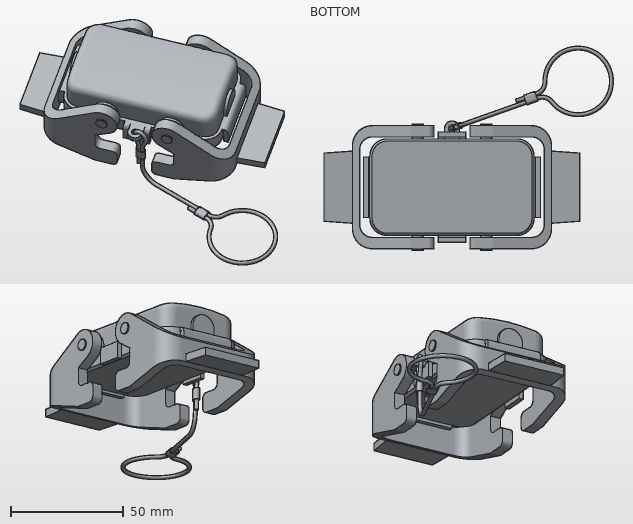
import cadquery as cq
import math


BODY_LENGTH = 70.2
BODY_WIDTH = 40.0
BODY_CORNER_RADIUS = 6.0
CROWN_TOP = 21.4
CROWN_RADIUS = 90.3
CROWN_EDGE_FILLET = 3.0

FLANGE_LENGTH = 73.3
FLANGE_WIDTH = 43.1
FLANGE_CORNER_RADIUS = 7.7
FLANGE_TOP = 7.7

SEAL_THICKNESS = 1.0
SEAL_EDGE_ANGLE = 45.0

LIP_WALL = 2.2
LIP_WEB = 1.5
LIP_BOTTOM = -0.6
END_LIP_WIDTH = 27.1
END_LIP_REACH = 39.5
SIDE_LIP_WIDTH = 12.4
SIDE_LIP_REACH = 24.6

END_PAD_RADIUS = 6.0
END_PAD_AXIS_Z = 10.5
PIN_PAD_RADIUS = 5.7

PIN_X = 15.2
PIN_Z = 10.0
PIN_RADIUS = 2.6
PIN_TIP_Y = 28.1

TONGUE_RADIUS = 3.4
TONGUE_THICKNESS = 2.5
EYE_Y = -26.2
EYE_RADIUS = 1.5

LEVER_HALF_WIDTH = 27.5
LEVER_ARM_THICKNESS = 5.2
LEVER_BRIDGE_THICKNESS = 3.4
LEVER_OUTER_X = 44.4
LEVER_OUTER_RADIUS = 9.0
LEVER_INNER_RADIUS = 5.4
LEVER_EYE_RADIUS = 7.1
LEVER_SHOULDER_Z = 0.3
LEVER_HEEL_Z = -10.7
FOOT_BOTTOM_Z = -17.9
FOOT_TOP_Z = -8.6
FOOT_TIP_X = 8.0
FOOT_HEEL_X = 18.5
FOOT_FILLET = 2.5
THROAT_X = 18.3
THROAT_TOP_Z = 0.1
HANDLE_END_X = 57.0
HANDLE_ROOT_WIDTH = 32.3
HANDLE_END_WIDTH = 30.5
HANDLE_TOP_Z = -7.0
HANDLE_BOTTOM_Z = -10.6

CORD_RADIUS = 0.9
CORD_PITCH = 1.9
CORD_HEADING = -19.5
CORD_LEVEL_Z = -21.7
EYE_LOOP_RADIUS = 3.0
EYE_LOOP_Z = 6.5
STRANDS_MEET_Z = -1.3
DROP_TAIL_Z = -12.6
CORD_BEND_RADIUS = 8.3
LEVEL_TAIL_U = 31.0
BLEND_START_U = 40.8
RING_CENTER_U = 60.0
RING_RADIUS = 14.8

FERRULE_THICKNESS = 2.7
FERRULE_LENGTH = 5.3
DROP_FERRULE_TOP_Z = -2.6
LEVEL_FERRULE_U = 35.0


def rounded_block(length, width, radius, bottom, top):
    """Upright block centred on Z with rounded vertical edges."""
    block = cq.Workplane("XY").workplane(offset=bottom).rect(length, width).extrude(top - bottom)
    return block.edges("|Z").fillet(radius)


def crowned_body():
    """Upper body with a top arched across Y and a rounded rim."""
    block = rounded_block(BODY_LENGTH, BODY_WIDTH, BODY_CORNER_RADIUS, SEAL_THICKNESS, CROWN_TOP)
    crown = (
        cq.Workplane("YZ")
        .center(0, CROWN_TOP - CROWN_RADIUS)
        .circle(CROWN_RADIUS)
        .extrude(BODY_LENGTH, both=True)
    )
    return block.intersect(crown).faces(">Z").edges().fillet(CROWN_EDGE_FILLET)


def lip(flange_face, reach, width):
    """Hooked lip on the +X side: a web flush with the flange top and a wall hanging from it."""
    wall_inner = reach - LIP_WALL
    return (
        cq.Workplane("XZ")
        .moveTo(flange_face, FLANGE_TOP)
        .lineTo(wall_inner, FLANGE_TOP)
        .radiusArc((reach, FLANGE_TOP - LIP_WALL), LIP_WALL)
        .lineTo(reach, LIP_BOTTOM)
        .lineTo(wall_inner, LIP_BOTTOM)
        .lineTo(wall_inner, FLANGE_TOP - LIP_WEB)
        .lineTo(flange_face, FLANGE_TOP - LIP_WEB)
        .close()
        .extrude(width / 2, both=True)
    )


def arched_pads(plane, offset, axis_z, radius, length):
    """Pad pair through the cover: round above its axis, straight-sided down to the flange."""
    return (
        cq.Workplane(plane)
        .moveTo(offset - radius, SEAL_THICKNESS)
        .lineTo(offset - radius, axis_z)
        .threePointArc((offset, axis_z + radius), (offset + radius, axis_z))
        .lineTo(offset + radius, SEAL_THICKNESS)
        .close()
        .extrude(length / 2, both=True)
    )


def pivot_pin(x):
    """Pin that shows on both long sides of the cover."""
    return cq.Workplane("XZ").center(x, PIN_Z).circle(PIN_RADIUS).extrude(PIN_TIP_Y, both=True)


def cord_tongue():
    """Round-ended tongue on the -Y side, flush with the flange top."""
    flange_face = -FLANGE_WIDTH / 2
    return (
        cq.Workplane("XY")
        .workplane(offset=FLANGE_TOP - TONGUE_THICKNESS)
        .moveTo(-TONGUE_RADIUS, flange_face)
        .lineTo(-TONGUE_RADIUS, EYE_Y)
        .threePointArc((0, EYE_Y - TONGUE_RADIUS), (TONGUE_RADIUS, EYE_Y))
        .lineTo(TONGUE_RADIUS, flange_face)
        .close()
        .extrude(TONGUE_THICKNESS)
    )


def cord_eye():
    """Cutter for the hole in the tongue."""
    return (
        cq.Workplane("XY")
        .workplane(offset=FLANGE_TOP - TONGUE_THICKNESS)
        .center(0, EYE_Y)
        .circle(EYE_RADIUS)
        .extrude(TONGUE_THICKNESS)
    )


def make_cover():
    flange = rounded_block(
        FLANGE_LENGTH, FLANGE_WIDTH, FLANGE_CORNER_RADIUS, SEAL_THICKNESS, FLANGE_TOP
    )
    cover = crowned_body().union(flange)
    cover = cover.union(arched_pads("YZ", 0, END_PAD_AXIS_Z, END_PAD_RADIUS, FLANGE_LENGTH))
    for side in (-1, 1):
        cover = cover.union(arched_pads("XZ", side * PIN_X, PIN_Z, PIN_PAD_RADIUS, FLANGE_WIDTH))
        cover = cover.union(pivot_pin(side * PIN_X))
    end_lip = lip(FLANGE_LENGTH / 2, END_LIP_REACH, END_LIP_WIDTH)
    side_lip = lip(FLANGE_WIDTH / 2, SIDE_LIP_REACH, SIDE_LIP_WIDTH)
    for turn in (0, 180):
        cover = cover.union(end_lip.rotate((0, 0, 0), (0, 0, 1), turn))
        cover = cover.union(side_lip.rotate((0, 0, 0), (0, 0, 1), turn + 90))
    return cover.union(cord_tongue()).cut(cord_eye())


def make_seal():
    """Flat seal under the flange, its rim sloping inward to the underside."""
    outline = cq.Sketch().rect(FLANGE_LENGTH, FLANGE_WIDTH).vertices().fillet(FLANGE_CORNER_RADIUS)
    return (
        cq.Workplane("XY")
        .workplane(offset=SEAL_THICKNESS)
        .placeSketch(outline)
        .extrude(-SEAL_THICKNESS, taper=SEAL_EDGE_ANGLE)
    )


def tangent_point(point, center, radius, side):
    """Point where a line from `point` touches the circle, on the given side (+1 or -1)."""
    dx = point[0] - center[0]
    dz = point[1] - center[1]
    angle = math.atan2(dz, dx) + side * math.acos(radius / math.hypot(dx, dz))
    return (center[0] + radius * math.cos(angle), center[1] + radius * math.sin(angle))


def lever_side_shape():
    """Side outline of a lever, as a slab across its whole width."""
    pivot = (PIN_X, PIN_Z)
    shoulder = (LEVER_OUTER_X, LEVER_SHOULDER_Z)
    throat = (THROAT_X, THROAT_TOP_Z)
    slab = (
        cq.Workplane("XZ")
        .moveTo(*throat)
        .lineTo(*tangent_point(throat, pivot, LEVER_EYE_RADIUS, -1))
        .threePointArc(
            (PIN_X - LEVER_EYE_RADIUS, PIN_Z),
            tangent_point(shoulder, pivot, LEVER_EYE_RADIUS, 1),
        )
        .lineTo(*shoulder)
        .lineTo(LEVER_OUTER_X, LEVER_HEEL_Z)
        .lineTo(FOOT_HEEL_X, FOOT_BOTTOM_Z)
        .lineTo(FOOT_TIP_X, FOOT_BOTTOM_Z)
        .lineTo(FOOT_TIP_X, FOOT_TOP_Z)
        .lineTo(THROAT_X, FOOT_TOP_Z)
        .close()
        .extrude(LEVER_HALF_WIDTH, both=True)
    )
    for corner in (
        (FOOT_TIP_X, FOOT_BOTTOM_Z),
        (FOOT_TIP_X, FOOT_TOP_Z),
        (THROAT_X, FOOT_TOP_Z),
    ):
        slab = slab.edges(cq.NearestToPointSelector((corner[0], 0, corner[1]))).fillet(FOOT_FILLET)
    return slab


def lever_plan_shape():
    """Plan outline of a lever: two arms joined by a bridge, with rounded corners."""
    height = 2 * LEVER_OUTER_X
    outer = (
        cq.Workplane("XY")
        .box(LEVER_OUTER_X, 2 * LEVER_HALF_WIDTH, height, centered=(False, True, True))
        .edges("|Z and >X")
        .fillet(LEVER_OUTER_RADIUS)
    )
    inner_half_width = LEVER_HALF_WIDTH - LEVER_ARM_THICKNESS
    inner = (
        cq.Workplane("XY")
        .box(
            LEVER_OUTER_X - LEVER_BRIDGE_THICKNESS,
            2 * inner_half_width,
            height,
            centered=(False, True, True),
        )
        .edges("|Z and >X")
        .fillet(LEVER_INNER_RADIUS)
    )
    return outer.cut(inner)


def lever_handle():
    """Tapered finger plate on the outside of the bridge."""
    root_x = LEVER_OUTER_X - LEVER_BRIDGE_THICKNESS / 2
    return (
        cq.Workplane("XY")
        .workplane(offset=HANDLE_BOTTOM_Z)
        .polyline(
            [
                (root_x, -HANDLE_ROOT_WIDTH / 2),
                (LEVER_OUTER_X, -HANDLE_ROOT_WIDTH / 2),
                (HANDLE_END_X, -HANDLE_END_WIDTH / 2),
                (HANDLE_END_X, HANDLE_END_WIDTH / 2),
                (LEVER_OUTER_X, HANDLE_ROOT_WIDTH / 2),
                (root_x, HANDLE_ROOT_WIDTH / 2),
            ]
        )
        .close()
        .extrude(HANDLE_TOP_Z - HANDLE_BOTTOM_Z)
    )


def make_lever(turn):
    """Lever for the +X end, turned about Z into its place."""
    lever = lever_side_shape().intersect(lever_plan_shape())
    lever = lever.union(lever_handle()).cut(pivot_pin(PIN_X))
    return lever.rotate((0, 0, 0), (0, 0, 1), turn)


def to_eye(shape):
    """Move a shape from the cord frame (U along the cord, V beside it) to the eye."""
    return shape.rotate((0, 0, 0), (0, 0, 1), CORD_HEADING).translate((0, EYE_Y, 0))


def drop_edges():
    """Cord path in the vertical plane: hanging tail, eye loop, drop and bend to level."""
    tail_u = EYE_LOOP_RADIUS - CORD_PITCH / 2
    main_u = EYE_LOOP_RADIUS + CORD_PITCH / 2
    bend_start_z = CORD_LEVEL_Z + CORD_BEND_RADIUS
    bend_u = main_u + CORD_BEND_RADIUS
    bend_reach = CORD_BEND_RADIUS * math.sqrt(0.5)

    tail_end = cq.Vector(tail_u, 0, DROP_TAIL_Z)
    tail_meet = cq.Vector(tail_u, 0, STRANDS_MEET_Z)
    loop_start = cq.Vector(0, 0, EYE_LOOP_Z)
    loop_top = cq.Vector(EYE_LOOP_RADIUS, 0, EYE_LOOP_Z + EYE_LOOP_RADIUS)
    loop_end = cq.Vector(2 * EYE_LOOP_RADIUS, 0, EYE_LOOP_Z)
    main_meet = cq.Vector(main_u, 0, STRANDS_MEET_Z)
    bend_start = cq.Vector(main_u, 0, bend_start_z)
    bend_middle = cq.Vector(bend_u - bend_reach, 0, bend_start_z - bend_reach)
    bend_end = cq.Vector(bend_u, 0, CORD_LEVEL_Z)
    up = cq.Vector(0, 0, 1)
    down = cq.Vector(0, 0, -1)
    edges = [
        cq.Edge.makeLine(tail_end, tail_meet),
        cq.Edge.makeSpline([tail_meet, loop_start], tangents=[up, up]),
        cq.Edge.makeThreePointArc(loop_start, loop_top, loop_end),
        cq.Edge.makeSpline([loop_end, main_meet], tangents=[down, down]),
        cq.Edge.makeLine(main_meet, bend_start),
        cq.Edge.makeThreePointArc(bend_start, bend_middle, bend_end),
    ]
    return edges, bend_end


def ring_edges(start):
    """Cord path in the level plane: run out, round the ring and back to the second tail."""
    axis_v = -CORD_PITCH / 2
    half_pitch = CORD_PITCH / 2
    span_u = RING_CENTER_U - BLEND_START_U
    blend_radius = (span_u**2 + half_pitch**2 - RING_RADIUS**2) / (2 * (RING_RADIUS - half_pitch))
    blend_height = half_pitch + blend_radius
    blend_angle = math.atan2(blend_height, span_u)

    def level_point(u, height):
        return cq.Vector(u, axis_v + height, CORD_LEVEL_Z)

    def blend_point(angle, side):
        u = BLEND_START_U + blend_radius * math.cos(angle)
        return level_point(u, side * (blend_height + blend_radius * math.sin(angle)))

    strand_out = level_point(BLEND_START_U, half_pitch)
    strand_back = level_point(BLEND_START_U, -half_pitch)
    middle_angle = (-math.pi / 2 - blend_angle) / 2
    ring_start = blend_point(-blend_angle, 1)
    ring_end = blend_point(-blend_angle, -1)
    ring_far = level_point(RING_CENTER_U + RING_RADIUS, 0)
    return [
        cq.Edge.makeLine(start, strand_out),
        cq.Edge.makeThreePointArc(strand_out, blend_point(middle_angle, 1), ring_start),
        cq.Edge.makeThreePointArc(ring_start, ring_far, ring_end),
        cq.Edge.makeThreePointArc(ring_end, blend_point(middle_angle, -1), strand_back),
        cq.Edge.makeLine(strand_back, level_point(LEVEL_TAIL_U, -half_pitch)),
    ]


def make_cord():
    edges, bend_end = drop_edges()
    path = cq.Wire.assembleEdges(edges + ring_edges(bend_end))
    section = (
        cq.Workplane("XY", origin=(EYE_LOOP_RADIUS - CORD_PITCH / 2, 0, DROP_TAIL_Z))
        .circle(CORD_RADIUS)
    )
    return to_eye(section.sweep(cq.Workplane(path)))


def make_ferrule(plane):
    """Oval crimp sleeve with a bore for each strand, extruded from the given plane."""
    ferrule = (
        cq.Workplane(plane)
        .slot2D(CORD_PITCH + FERRULE_THICKNESS, FERRULE_THICKNESS)
        .pushPoints([(-CORD_PITCH / 2, 0), (CORD_PITCH / 2, 0)])
        .circle(CORD_RADIUS)
        .extrude(FERRULE_LENGTH)
    )
    return to_eye(ferrule)


cover = make_cover()
seal = make_seal()
levers = [make_lever(turn) for turn in (0, 180)]
cord = make_cord()
ferrule_planes = [
    cq.Plane(
        origin=(EYE_LOOP_RADIUS, 0, DROP_FERRULE_TOP_Z), xDir=(1, 0, 0), normal=(0, 0, -1)
    ),
    cq.Plane(
        origin=(LEVEL_FERRULE_U, -CORD_PITCH / 2, CORD_LEVEL_Z), xDir=(0, 1, 0), normal=(1, 0, 0)
    ),
]
ferrules = [make_ferrule(plane) for plane in ferrule_planes]

result = cq.Compound.makeCompound(
    [
        cover.val(),
        seal.val(),
        *[lever.val() for lever in levers],
        cord.val(),
        *[ferrule.val() for ferrule in ferrules],
    ]
)